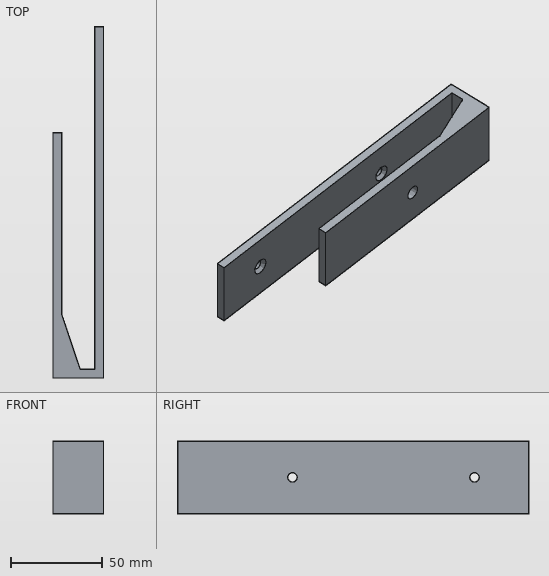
import cadquery as cq

length = 193.0
width = 28.0
height = 40.0

wall = 5.0
front_arm_length = 135.0
wedge_top = 35.0
wedge_base = 15.0

screw_diameter = 5.0
countersink_diameter = 9.0
upper_hole_inset = 30.0
hole_spacing = 100.0
access_diameter = 8.0

upper_hole_y = length - upper_hole_inset
lower_hole_y = upper_hole_y - hole_spacing
slot_face_x = width - wall
countersink_depth = (countersink_diameter - screw_diameter) / 2


def hook_body():
    """Uneven U profile with a wedge in the slot, extruded along Z."""
    outline = [
        (0, 0),
        (width, 0),
        (width, length),
        (slot_face_x, length),
        (slot_face_x, wall),
        (wedge_base, wall),
        (wall, wedge_top),
        (wall, front_arm_length),
        (0, front_arm_length),
    ]
    return cq.Workplane("XY").polyline(outline).close().extrude(height)


def drill(x, y, diameter):
    """Cylinder through one wall thickness, starting at x and running along +X."""
    start = cq.Vector(x, y, height / 2)
    return cq.Solid.makeCylinder(diameter / 2, wall, start, cq.Vector(1, 0, 0))


def countersink(y):
    """Cone that opens from the back plate into the slot."""
    return cq.Solid.makeCone(
        countersink_diameter / 2,
        screw_diameter / 2,
        countersink_depth,
        cq.Vector(slot_face_x, y, height / 2),
        cq.Vector(1, 0, 0),
    )


result = hook_body()

for hole_y in (upper_hole_y, lower_hole_y):
    result = result.cut(drill(slot_face_x, hole_y, screw_diameter))
    result = result.cut(countersink(hole_y))

result = result.cut(drill(0, lower_hole_y, access_diameter))